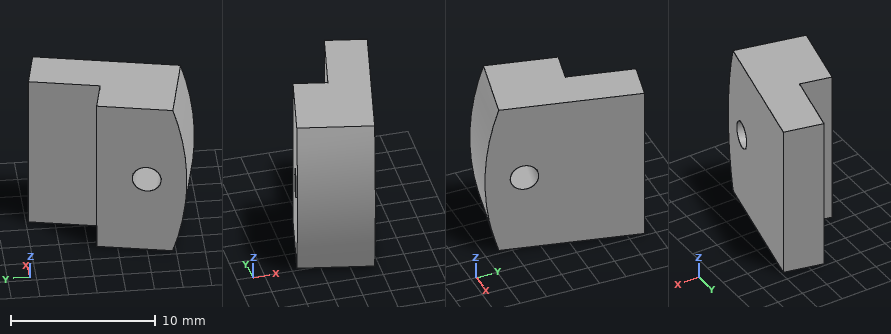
import cadquery as cq
import math

height = 12.0
length = 11.3
width = 5.42
tongue_width = 3.0
tongue_length = 5.02
end_radius = 19.0
hole_diameter = 2.0
hole_from_crown = 2.8
turn_angle = -12.0

half_height = height / 2
crown_depth = end_radius - math.sqrt(end_radius**2 - half_height**2)


def block_with_curved_end():
    """Block profile in the YZ plane, crown at Y = 0, extruded across the width."""
    return (
        cq.Workplane("YZ")
        .moveTo(crown_depth, -half_height)
        .lineTo(length, -half_height)
        .lineTo(length, half_height)
        .lineTo(crown_depth, half_height)
        .threePointArc((0, 0), (crown_depth, -half_height))
        .close()
        .extrude(width)
    )


def rear_step():
    """Material removed on the -X side to leave the thin tongue."""
    return cq.Workplane("XY").box(
        width - tongue_width, tongue_length, height, centered=(False, False, True)
    ).translate((0, length - tongue_length, 0))


def cross_hole():
    """Through hole across the thick portion."""
    return (
        cq.Workplane("YZ")
        .center(hole_from_crown, 0)
        .circle(hole_diameter / 2)
        .extrude(width)
    )


part = block_with_curved_end().cut(rear_step()).cut(cross_hole())
result = part.rotate((0, 0, 0), (0, 0, 1), turn_angle)